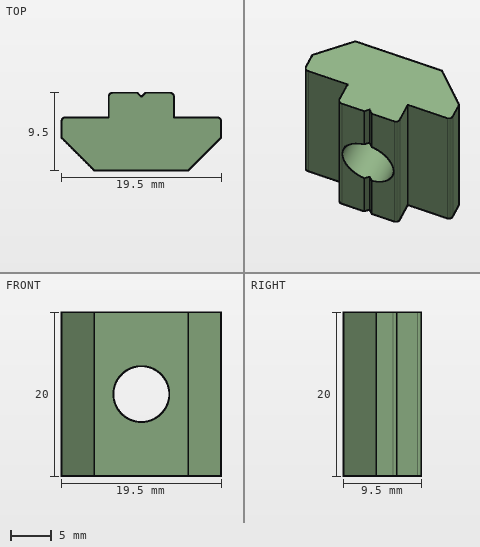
import cadquery as cq

length = 20.0
flange_width = 19.5
total_depth = 9.5

neck_width = 8.0
neck_height = 3.0
bevel = 4.0
edge_radius = 0.5
groove_depth = 0.5
hole_diameter = 6.8

front_y = -total_depth / 2
neck_top_y = total_depth / 2
shoulder_y = neck_top_y - neck_height
half_flange = flange_width / 2
half_neck = neck_width / 2


def make_body():
    """Extrude the T-slot nut section along Z and round its outer corners."""
    outline = [
        (-half_flange + bevel, front_y),
        (half_flange - bevel, front_y),
        (half_flange, front_y + bevel),
        (half_flange, shoulder_y),
        (half_neck, shoulder_y),
        (half_neck, neck_top_y),
        (-half_neck, neck_top_y),
        (-half_neck, shoulder_y),
        (-half_flange, shoulder_y),
        (-half_flange, front_y + bevel),
    ]
    body = cq.Workplane("XY").polyline(outline).close().extrude(length / 2, both=True)
    rounded_corners = [
        (side * half_width, y)
        for side in (-1, 1)
        for half_width, y in ((half_flange, shoulder_y), (half_neck, neck_top_y))
    ]
    for x, y in rounded_corners:
        corner_edge = cq.selectors.NearestToPointSelector((x, y, 0))
        body = body.edges("|Z").edges(corner_edge).fillet(edge_radius)
    return body


def make_groove():
    """V-shaped cutter centred on the top of the neck."""
    return (
        cq.Workplane("XY")
        .moveTo(-groove_depth, neck_top_y)
        .lineTo(0, neck_top_y - groove_depth)
        .lineTo(groove_depth, neck_top_y)
        .close()
        .extrude(length / 2, both=True)
    )


def make_hole():
    """Cylinder through the full depth along Y."""
    return cq.Workplane("XZ").circle(hole_diameter / 2).extrude(total_depth / 2, both=True)


result = make_body().cut(make_groove()).cut(make_hole())